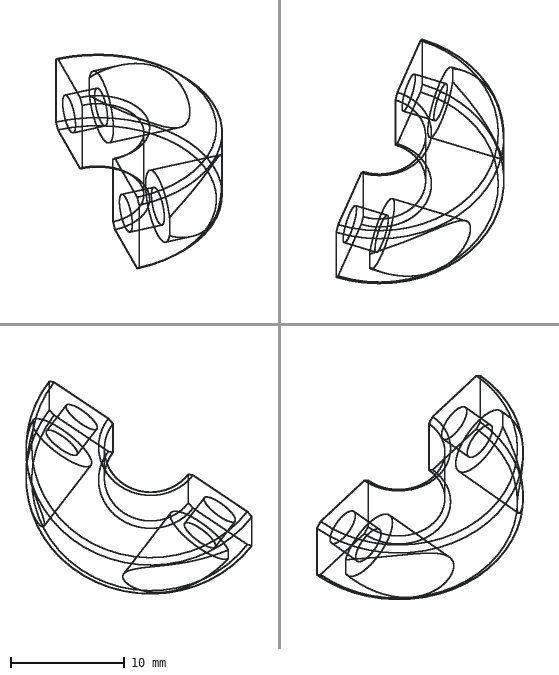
import cadquery as cq

outer_diameter = 22.0
height = 8.0
bore_diameter = 8.18
edge_chamfer = 0.5

screw_spacing = 15.0
screw_diameter = 3.4
counterbore_diameter = 6.5
seat_distance = 3.0

outer_radius = outer_diameter / 2
bore_radius = bore_diameter / 2


def half_ring():
    """Revolve the chamfered ring section half a turn about Z, on the +Y side."""
    half_height = height / 2
    section = (
        cq.Workplane("XZ")
        .moveTo(bore_radius, edge_chamfer - half_height)
        .lineTo(bore_radius + edge_chamfer, -half_height)
        .lineTo(outer_radius - edge_chamfer, -half_height)
        .lineTo(outer_radius, edge_chamfer - half_height)
        .lineTo(outer_radius, half_height - edge_chamfer)
        .lineTo(outer_radius - edge_chamfer, half_height)
        .lineTo(bore_radius + edge_chamfer, half_height)
        .lineTo(bore_radius, half_height - edge_chamfer)
        .close()
    )
    return section.revolve(180, (0, 0), (0, 1))


def cylinder_along_y(x, start_y, diameter):
    """Cylinder centred on (x, Z = 0), from start_y out past the curved side."""
    return (
        cq.Workplane("XZ", origin=(x, start_y, 0))
        .circle(diameter / 2)
        .extrude(-outer_radius)
    )


result = half_ring()
for screw_x in (-screw_spacing / 2, screw_spacing / 2):
    result = result.cut(cylinder_along_y(screw_x, 0, screw_diameter))
    result = result.cut(cylinder_along_y(screw_x, seat_distance, counterbore_diameter))